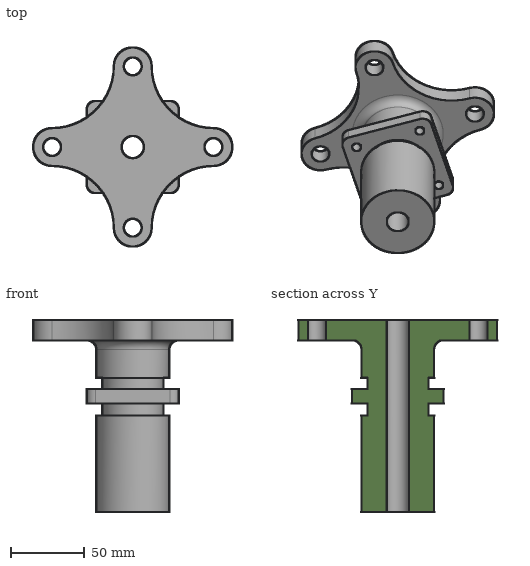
import cadquery as cq
import math

total_height = 131.0
top_plate_thickness = 14.0
flange_thickness = 10.0
lower_shaft_length = 66.0
lower_neck_length = 8.0
upper_neck_length = 7.5

shaft_diameter = 50.0
neck_diameter = 42.0
bore_diameter = 15.0
root_fillet = 6.0

arm_hole_distance = 55.0
arm_radius = 13.0
arm_hole_diameter = 12.0

flange_side = 63.0
flange_corner_radius = 6.0
flange_hole_pitch = 45.0
flange_hole_diameter = 6.0

arm_count = 4
top_plate_bottom = total_height - top_plate_thickness
neck_bottom = lower_shaft_length
flange_bottom = neck_bottom + lower_neck_length
neck_top = flange_bottom + flange_thickness + upper_neck_length
waist_radius = arm_hole_distance - arm_radius
quarter_arc_mid = math.sqrt(0.5)


def make_shaft():
    """Revolved shaft with a neck and a concave root fillet under the plate."""
    shaft_radius = shaft_diameter / 2
    neck_radius = neck_diameter / 2
    fillet_start = top_plate_bottom - root_fillet
    fillet_mid_offset = root_fillet * (1 - quarter_arc_mid)
    profile = (
        cq.Workplane("XZ")
        .moveTo(0, 0)
        .lineTo(shaft_radius, 0)
        .lineTo(shaft_radius, neck_bottom)
        .lineTo(neck_radius, neck_bottom)
        .lineTo(neck_radius, neck_top)
        .lineTo(shaft_radius, neck_top)
        .lineTo(shaft_radius, fillet_start)
        .threePointArc(
            (shaft_radius + fillet_mid_offset, top_plate_bottom - fillet_mid_offset),
            (shaft_radius + root_fillet, top_plate_bottom),
        )
        .lineTo(0, top_plate_bottom)
        .close()
    )
    return profile.revolve(360, (0, 0), (0, 1))


def turned(point, quarter_turns):
    """Rotate a point about the axis by a number of quarter turns."""
    x, y = point
    for _ in range(quarter_turns):
        x, y = -y, x
    return x, y


def make_top_plate():
    """Plate with four round-ended arms joined by concave arcs, and a hole in each arm."""
    tip = (arm_hole_distance + arm_radius, 0)
    arm_start = (arm_hole_distance, -arm_radius)
    arm_end = (arm_hole_distance, arm_radius)
    waist_mid_coordinate = arm_hole_distance - waist_radius * quarter_arc_mid
    waist_mid = (waist_mid_coordinate, waist_mid_coordinate)

    outline = cq.Workplane("XY").workplane(offset=top_plate_bottom).moveTo(*arm_start)
    for turn in range(arm_count):
        outline = outline.threePointArc(turned(tip, turn), turned(arm_end, turn))
        outline = outline.threePointArc(turned(waist_mid, turn), turned(arm_start, turn + 1))
    plate = outline.close().extrude(top_plate_thickness)

    holes = (
        cq.Workplane("XY")
        .workplane(offset=top_plate_bottom)
        .polarArray(arm_hole_distance, 0, 360, arm_count)
        .circle(arm_hole_diameter / 2)
        .extrude(top_plate_thickness)
    )
    return plate.cut(holes)


def make_flange():
    """Square flange with rounded corners and a through hole near each corner."""
    flange = (
        cq.Workplane("XY")
        .workplane(offset=flange_bottom)
        .rect(flange_side, flange_side)
        .extrude(flange_thickness)
        .edges("|Z")
        .fillet(flange_corner_radius)
    )
    return (
        flange.faces(">Z")
        .workplane()
        .rect(flange_hole_pitch, flange_hole_pitch, forConstruction=True)
        .vertices()
        .hole(flange_hole_diameter)
    )


bore = cq.Workplane("XY").circle(bore_diameter / 2).extrude(total_height)

result = make_shaft().union(make_flange()).union(make_top_plate()).cut(bore)